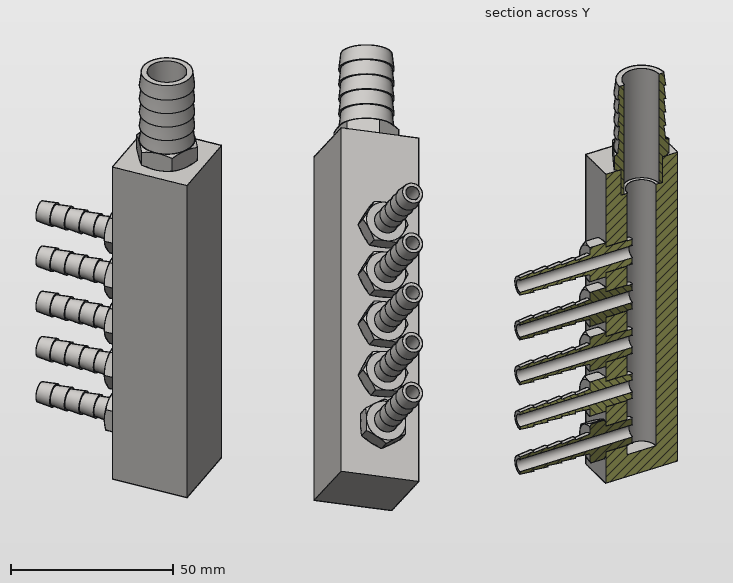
import cadquery as cq
import math

BLOCK_WIDTH = 25.4
TOTAL_HEIGHT = 145.3
CHAMBER_DIAMETER = 10.0
CHAMBER_FLOOR_HEIGHT = 8.3

BARB_COUNT = 5
BARB_PITCH = 5.0
BARBED_LENGTH = BARB_COUNT * BARB_PITCH
HEX_CHAMFER_ANGLE = math.radians(30)

INLET_RIDGE_DIAMETER = 17.1
INLET_ROOT_DIAMETER = 16.0
INLET_BORE = 12.2
INLET_HEX_ACROSS_FLATS = 17.5
INLET_HEX_HEIGHT = 6.2
INLET_STEM_DIAMETER = 14.5
INLET_STEM_LENGTH = 9.5
INLET_TURN = 4.0

OUTLET_RIDGE_DIAMETER = 7.5
OUTLET_ROOT_DIAMETER = 6.5
OUTLET_BORE = 4.4
OUTLET_HEX_ACROSS_FLATS = 12.8
OUTLET_HEX_HEIGHT = 5.7
OUTLET_STEM_DIAMETER = 9.3
OUTLET_STEM_LENGTH = 9.5
OUTLET_PITCH = 16.5
LOWEST_OUTLET_HEIGHT = 16.4
OUTLET_TURNS = [32.0, 4.0, 0.0, 1.0, 0.0]

BLOCK_HEIGHT = TOTAL_HEIGHT - BARBED_LENGTH - INLET_HEX_HEIGHT
OUTLET_FACE_X = -BLOCK_WIDTH / 2
OUTLET_HEIGHTS = [LOWEST_OUTLET_HEIGHT + i * OUTLET_PITCH for i in range(len(OUTLET_TURNS))]


def cylinder_z(diameter, bottom, top):
    return cq.Workplane("XY").workplane(offset=bottom).circle(diameter / 2).extrude(top - bottom)


def hex_nut(across_flats, height, turn):
    """Hexagon on Z = 0 with a corner on +X before turning; both ends have chamfered corners."""
    across_corners = across_flats / math.cos(math.radians(30))
    corner_depth = (across_corners - across_flats) / 2
    chamfer_height = corner_depth * math.tan(HEX_CHAMFER_ANGLE)
    hexagon = cq.Workplane("XY").polygon(6, across_corners).extrude(height)
    corner_trim = cylinder_z(across_corners, 0, height).edges().chamfer(chamfer_height, corner_depth)
    return hexagon.intersect(corner_trim).rotate((0, 0, 0), (0, 0, 1), turn)


def barbed_tail(root_diameter, ridge_diameter, bottom):
    """Stack of cones, each narrowing upward from its ridge to the root of the next one."""
    profile = cq.Workplane("XZ").moveTo(0, bottom)
    for i in range(BARB_COUNT):
        ridge_height = bottom + i * BARB_PITCH
        profile = profile.lineTo(ridge_diameter / 2, ridge_height)
        profile = profile.lineTo(root_diameter / 2, ridge_height + BARB_PITCH)
    return profile.lineTo(0, bottom + BARBED_LENGTH).close().revolve(360, (0, 0, 0), (0, 1, 0))


def barbed_fitting(nut, hex_height, root_diameter, ridge_diameter, stem_diameter, stem_length, bore):
    """Fitting pointing up, seated on Z = 0, with its stem below and a bore right through."""
    tail = barbed_tail(root_diameter, ridge_diameter, hex_height)
    stem = cylinder_z(stem_diameter, -stem_length, 0)
    passage = cylinder_z(bore, -stem_length, hex_height + BARBED_LENGTH)
    return nut.union(tail).union(stem).cut(passage)


def place_on_outlet_face(shape, height):
    """Lay an upright shape over so that it points along -X from the outlet face."""
    return shape.rotate((0, 0, 0), (0, 1, 0), -90).translate((OUTLET_FACE_X, 0, height))


def make_block():
    block = cq.Workplane("XY").rect(BLOCK_WIDTH, BLOCK_WIDTH).extrude(BLOCK_HEIGHT)
    block = block.cut(cylinder_z(CHAMBER_DIAMETER, CHAMBER_FLOOR_HEIGHT, BLOCK_HEIGHT))
    inlet_seat = cylinder_z(INLET_STEM_DIAMETER, BLOCK_HEIGHT - INLET_STEM_LENGTH, BLOCK_HEIGHT)
    block = block.cut(inlet_seat)
    for height in OUTLET_HEIGHTS:
        outlet_hole = cylinder_z(OUTLET_STEM_DIAMETER, -OUTLET_STEM_LENGTH, 0)
        block = block.cut(place_on_outlet_face(outlet_hole, height))
    return block


def make_inlet():
    nut = hex_nut(INLET_HEX_ACROSS_FLATS, INLET_HEX_HEIGHT, INLET_TURN)
    fitting = barbed_fitting(
        nut,
        INLET_HEX_HEIGHT,
        INLET_ROOT_DIAMETER,
        INLET_RIDGE_DIAMETER,
        INLET_STEM_DIAMETER,
        INLET_STEM_LENGTH,
        INLET_BORE,
    )
    return fitting.translate((0, 0, BLOCK_HEIGHT))


def make_outlet(height, turn):
    nut = hex_nut(OUTLET_HEX_ACROSS_FLATS, OUTLET_HEX_HEIGHT, 90 + turn)
    fitting = barbed_fitting(
        nut,
        OUTLET_HEX_HEIGHT,
        OUTLET_ROOT_DIAMETER,
        OUTLET_RIDGE_DIAMETER,
        OUTLET_STEM_DIAMETER,
        OUTLET_STEM_LENGTH,
        OUTLET_BORE,
    )
    return place_on_outlet_face(fitting, height)


block = make_block()
inlet = make_inlet()
outlets = [make_outlet(height, turn) for height, turn in zip(OUTLET_HEIGHTS, OUTLET_TURNS)]

result = cq.Compound.makeCompound([block.val(), inlet.val(), *[outlet.val() for outlet in outlets]])